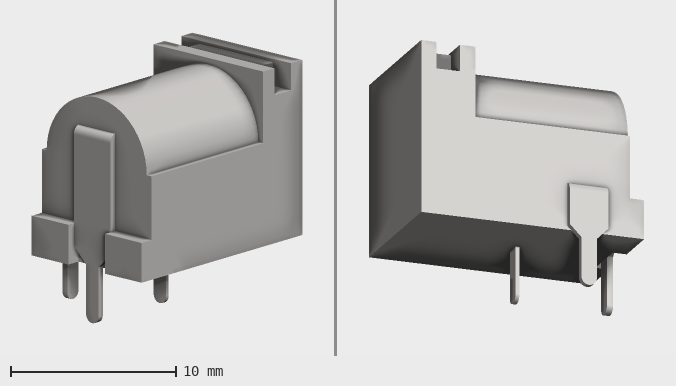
import cadquery as cq
import math


body_width = 9.0
body_height = 11.0
body_length = 13.5
barrel_radius = 4.1
barrel_axis_height = 6.5

flange_wall = 1.0
groove_width = 1.5
groove_depth = 1.7
flange_length = 2 * flange_wall + groove_width
block_width = 6.0
block_height = 1.5

foot_length = 0.9
foot_height = 2.5
foot_gap = 3.0

sheet_thickness = 0.4
bend_radius = 0.5
pin_width = 1.0
pin_drop = 3.5

front_blade_width = foot_gap
front_blade_top = 8.62
front_taper_start = 1.1

side_blade_width = 2.5
side_blade_top = 3.0
side_taper_start = 0.25
side_blade_y = -10.7

middle_pin_thickness = 0.25
middle_pin_front_y = -7.85


def box(width, length, height, rear_y, bottom_z):
    """Box centred on X that runs from rear_y toward -Y and up from bottom_z."""
    return (
        cq.Workplane("XY")
        .box(width, length, height, centered=(True, False, False))
        .translate((0, rear_y - length, bottom_z))
    )


def make_body():
    flange = box(body_width, flange_length, body_height, 0, 0)
    groove = box(body_width, groove_width, groove_depth, -flange_wall, body_height - groove_depth)
    block = box(block_width, groove_width, block_height, -flange_wall, body_height - groove_depth)
    base = box(body_width, body_length, barrel_axis_height, 0, 0)
    barrel = (
        cq.Workplane("XZ", origin=(0, -flange_length, barrel_axis_height))
        .circle(barrel_radius)
        .extrude(body_length - flange_length)
    )
    return flange.cut(groove).union(block).union(base).union(barrel)


def make_feet():
    feet = box(body_width, foot_length, foot_height, -body_length, 0)
    gap = box(foot_gap, foot_length, foot_height, -body_length, 0)
    return feet.cut(gap)


def make_pin(thickness, top):
    """Straight pin with a round tip, its rear face on Y = 0."""
    pin_radius = pin_width / 2
    return (
        cq.Workplane("XZ")
        .moveTo(-pin_radius, top)
        .lineTo(-pin_radius, pin_radius - pin_drop)
        .threePointArc((0, -pin_drop), (pin_radius, pin_radius - pin_drop))
        .lineTo(pin_radius, top)
        .close()
        .extrude(thickness)
    )


def make_terminal(blade_width, blade_top, taper_start):
    """Flat blade with a bent top that tapers at 45 degrees to a pin, its rear face on Y = 0."""
    half_blade = blade_width / 2
    half_pin = pin_width / 2
    taper_end = taper_start - (half_blade - half_pin)
    blade = (
        cq.Workplane("XZ")
        .moveTo(-half_blade, blade_top)
        .lineTo(-half_blade, taper_start)
        .lineTo(-half_pin, taper_end)
        .lineTo(half_pin, taper_end)
        .lineTo(half_blade, taper_start)
        .lineTo(half_blade, blade_top)
        .close()
        .extrude(sheet_thickness)
    )

    bend_centre_y = bend_radius - sheet_thickness
    bend_centre_z = blade_top - bend_radius
    rear_z = bend_centre_z + math.sqrt(bend_radius**2 - bend_centre_y**2)
    mid_angle = math.acos(bend_centre_y / bend_radius) / 2
    arc_middle = (
        bend_centre_y - bend_radius * math.cos(mid_angle),
        bend_centre_z + bend_radius * math.sin(mid_angle),
    )
    side_outline = (
        cq.Workplane("YZ", origin=(-half_blade, 0, 0))
        .moveTo(0, -pin_drop)
        .lineTo(-sheet_thickness, -pin_drop)
        .lineTo(-sheet_thickness, bend_centre_z)
        .threePointArc(arc_middle, (0, rear_z))
        .close()
        .extrude(blade_width)
    )
    return blade.intersect(side_outline).union(make_pin(sheet_thickness, taper_end))


front_terminal = make_terminal(front_blade_width, front_blade_top, front_taper_start).translate(
    (0, -body_length, 0)
)
side_terminal = (
    make_terminal(side_blade_width, side_blade_top, side_taper_start)
    .rotate((0, 0, 0), (0, 0, 1), -90)
    .translate((-body_width / 2, side_blade_y, 0))
)
middle_pin = make_pin(middle_pin_thickness, 0).translate(
    (0, middle_pin_front_y + middle_pin_thickness, 0)
)

result = (
    make_body()
    .union(make_feet())
    .union(front_terminal)
    .union(side_terminal)
    .union(middle_pin)
)